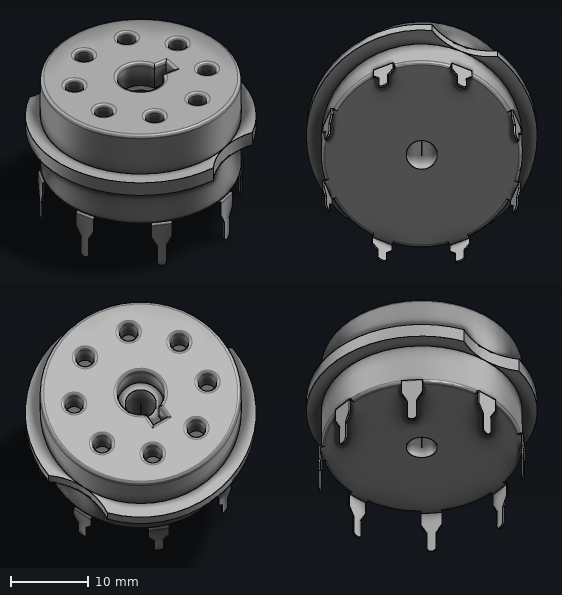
import cadquery as cq
import math

BODY_DIAMETER = 26.0
BODY_HEIGHT = 14.2
EDGE_ROUND = 0.45

FLANGE_RADIUS = 14.95
FLANGE_BOTTOM = 6.13
FLANGE_THICKNESS = 2.0
FLANGE_WIDTH = 28.43

CONTACT_COUNT = 8
SOCKET_CIRCLE_RADIUS = 8.75
SOCKET_DIAMETER = 2.35

BORE_DIAMETER = 6.0
BORE_DEPTH = 3.6
KEY_WIDTH = 2.0
KEY_REACH = 4.63
KEY_ANGLE = 67.5
FLOOR_HOLE_DIAMETER = 4.0

CORE_DIAMETER = 0.1

LUG_THICKNESS = 0.25
LUG_OUTER_RADIUS = 13.3
LUG_INNER_RADIUS = SOCKET_CIRCLE_RADIUS
LUG_TIP = -6.5
LUG_WIDTH = 2.75
LUG_TAIL_WIDTH = 1.23
TAPER_TOP = -1.95
TAPER_BOTTOM = -3.38
TIP_ROUND = 0.57

BORE_FLOOR = BODY_HEIGHT - BORE_DEPTH


def make_body():
    """Round body with its top and bottom rims rounded."""
    return (
        cq.Workplane("XY")
        .circle(BODY_DIAMETER / 2)
        .extrude(BODY_HEIGHT)
        .edges("%CIRCLE")
        .fillet(EDGE_ROUND)
    )


def make_flange():
    """Flange plate whose scallops touch the body at mid-length."""
    corner_x = FLANGE_WIDTH / 2
    corner_y = math.sqrt(FLANGE_RADIUS**2 - corner_x**2)
    return (
        cq.Workplane("XY", origin=(0, 0, FLANGE_BOTTOM))
        .moveTo(corner_x, corner_y)
        .threePointArc((0, FLANGE_RADIUS), (-corner_x, corner_y))
        .threePointArc((-BODY_DIAMETER / 2, 0), (-corner_x, -corner_y))
        .threePointArc((0, -FLANGE_RADIUS), (corner_x, -corner_y))
        .threePointArc((BODY_DIAMETER / 2, 0), (corner_x, corner_y))
        .close()
        .extrude(FLANGE_THICKNESS)
    )


def cut_top_openings(body):
    """Cut the contact sockets and the keyed bore, and round their mouths."""
    sockets = (
        cq.Workplane("XY", origin=(0, 0, BORE_FLOOR))
        .polarArray(SOCKET_CIRCLE_RADIUS, 0, 360, CONTACT_COUNT)
        .circle(SOCKET_DIAMETER / 2)
        .extrude(BORE_DEPTH)
    )
    bore = cq.Workplane("XY", origin=(0, 0, BORE_FLOOR)).circle(BORE_DIAMETER / 2).extrude(BORE_DEPTH)
    keyway = (
        cq.Workplane("XY", origin=(0, 0, BORE_FLOOR))
        .rect(KEY_REACH, KEY_WIDTH)
        .extrude(BORE_DEPTH)
        .translate((KEY_REACH / 2, 0, 0))
        .rotate((0, 0, 0), (0, 0, 1), KEY_ANGLE)
    )
    opened = body.cut(sockets).cut(bore.union(keyway))
    top_face = opened.faces(">Z").val()
    mouth_edges = [edge for wire in top_face.innerWires() for edge in wire.Edges()]
    return opened.newObject(mouth_edges).fillet(EDGE_ROUND)


def make_lug():
    """One lug on the +X side: a strip under the body, bent down into a tapered tail."""
    strip = (
        cq.Workplane("XZ")
        .moveTo(LUG_INNER_RADIUS, LUG_THICKNESS)
        .lineTo(LUG_OUTER_RADIUS - LUG_THICKNESS, LUG_THICKNESS)
        .radiusArc((LUG_OUTER_RADIUS, 0), LUG_THICKNESS)
        .lineTo(LUG_OUTER_RADIUS, LUG_TIP)
        .lineTo(LUG_OUTER_RADIUS - LUG_THICKNESS, LUG_TIP)
        .lineTo(LUG_OUTER_RADIUS - LUG_THICKNESS, 0)
        .lineTo(LUG_INNER_RADIUS, 0)
        .close()
        .extrude(LUG_WIDTH / 2, both=True)
    )
    outline = (
        cq.Workplane("YZ")
        .polyline([
            (-LUG_WIDTH / 2, LUG_THICKNESS),
            (-LUG_WIDTH / 2, TAPER_TOP),
            (-LUG_TAIL_WIDTH / 2, TAPER_BOTTOM),
            (-LUG_TAIL_WIDTH / 2, LUG_TIP),
            (LUG_TAIL_WIDTH / 2, LUG_TIP),
            (LUG_TAIL_WIDTH / 2, TAPER_BOTTOM),
            (LUG_WIDTH / 2, TAPER_TOP),
            (LUG_WIDTH / 2, LUG_THICKNESS),
        ])
        .close()
        .extrude(LUG_OUTER_RADIUS)
        .edges("|X and <Z")
        .fillet(TIP_ROUND)
    )
    return strip.intersect(outline)


def make_housing():
    """Body, flange and lugs as one solid, with all openings cut."""
    housing = cut_top_openings(make_body()).union(make_flange())
    lug = make_lug()
    for index in range(CONTACT_COUNT):
        housing = housing.union(lug.rotate((0, 0, 0), (0, 0, 1), index * 360 / CONTACT_COUNT))
    floor_hole = cq.Workplane("XY").circle(FLOOR_HOLE_DIAMETER / 2).extrude(BORE_FLOOR)
    return housing.cut(floor_hole)


def make_core():
    """Hair-thin rod standing free on the axis of the floor hole, as long as that hole."""
    return cq.Workplane("XY").circle(CORE_DIAMETER / 2).extrude(BORE_FLOOR)


housing = make_housing()
core = make_core()
result = cq.Compound.makeCompound([housing.val(), core.val()])